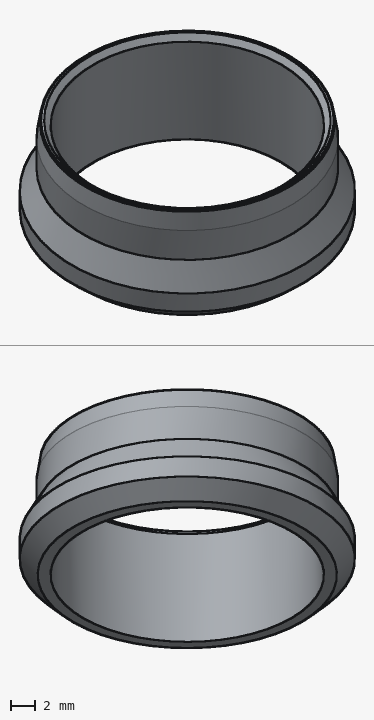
import cadquery as cq

bore_diameter = 22.0
collar_diameter = 24.3
flange_diameter = 27.0
rim_diameter = 23.75
bore_mouth_diameter = 23.05

base_cone_top = 1.45
flange_top = 3.32
shoulder_top = 5.7
collar_top = 8.7
total_height = 10.5

base_diameter = flange_diameter - 2 * base_cone_top

rim_bevel = 0.1
bore_mouth_depth = 0.55

profile = [
    (bore_diameter / 2, 0),
    (base_diameter / 2, 0),
    (flange_diameter / 2, base_cone_top),
    (flange_diameter / 2, flange_top),
    (collar_diameter / 2, shoulder_top),
    (collar_diameter / 2, collar_top),
    (rim_diameter / 2, total_height - rim_bevel),
    (rim_diameter / 2 - rim_bevel, total_height),
    (bore_mouth_diameter / 2, total_height),
    (bore_diameter / 2, total_height - bore_mouth_depth),
]

result = cq.Workplane("XZ").polyline(profile).close().revolve(360, (0, 0, 0), (0, 1, 0))